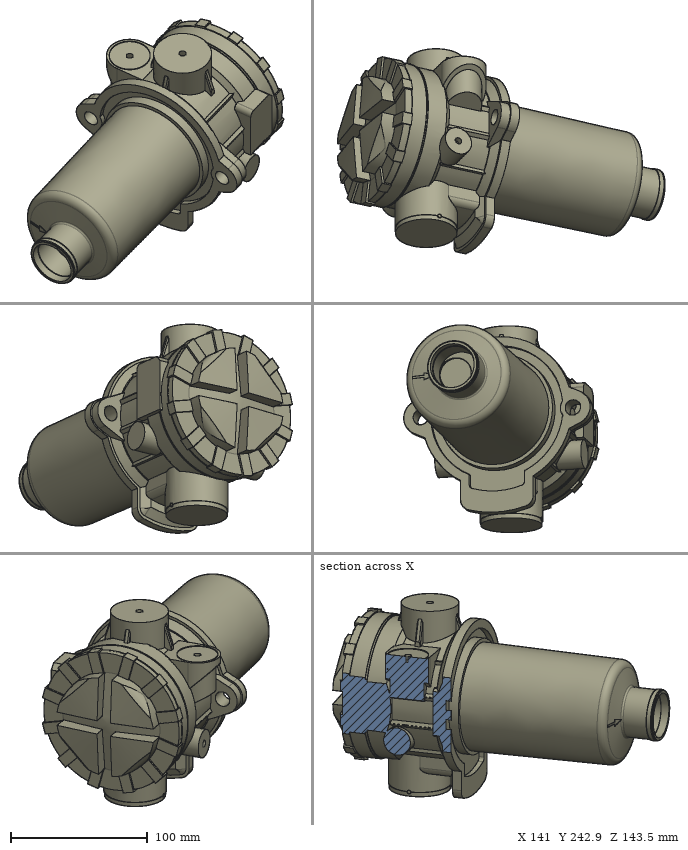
import cadquery as cq
import math


FLANGE_R = 56.8
FLANGE_T = 7.0
FLANGE_CONE_R = 54.7
FLANGE_CONE_TOP = 12.3
LUG_X = 57.5
LUG_R = 13.0
LUG_TOP = 14.3
LUG_STEP = 1.2
LUG_TANGENT_ANGLE = 65.0
LUG_ROOT_X = 45.0
LUG_HOLE_D = 11.5
TAB_R = 75.3
TAB_HALF_W = 27.5
TAB_CORNER_R = 8.0
TAB_BEVEL_H = 4.5
TAB_BEVEL_INSET = 2.5
TAB_BEVEL_ANGLE = 55.0
RECESS_R = 50.0
RECESS_DEPTH = 4.0
RECESS_TAB_R = 59.3
RECESS_TAB_HALF_W = 20.9
RECESS_CORNER_R = 3.0
RECESS_BOSS_R = 9.5

BODY_R = 48.5
BODY_TOP = 46.5
HEAD_R = 52.4
HEAD_BOTTOM = 50.4
COVER_BOTTOM = 65.6
COVER_LIP_T = 1.4
COVER_LIP_R = 53.0
COVER_R = 107.0 / 2
COVER_RING_R = 54.2
COVER_TOP = 84.9
COVER_DOME_TOP = 90.5
TOOTH_COUNT = 12
TOOTH_R = 55.3
TOOTH_W = 8.6
TOOTH_BOTTOM = 79.1
TOOTH_TOP = 86.6
GRIP_R = 38.8
GRIP_TOP = 98.8
GRIP_EDGE_TOP = 96.2
GRIP_SLOT_W = 10.6
GRIP_SCOOP_OUTER_Y = 88.6
GRIP_SCOOP_INNER_R = 30.0
GRIP_SCOOP_MID_R = 36.0
GRIP_SCOOP_MID_Y = 95.3

RIB_R = 50.5
SIDE_RIB_W = 5.2
SIDE_RIB_ANGLE = 13.5
CORNER_RIB_W = 3.4
CORNER_RIB_ANGLE = 45.0

PORT_HOLE_D = 5.0
PORT_HOLE_DEPTH = 5.0
TOP_PORT_Y = 34.5
TOP_PORT_R = 21.2
TOP_PORT_Z = 68.2
GUSSET_W = 4.2
GUSSET_CHAMFER = 0.9
GUSSET_TIP_Z = 61.8
GUSSET_ROOT_Z = 46.0
GUSSET_REACH = 26.5
BOTTOM_PORT_Y = 42.4
BOTTOM_PORT_R = 46.0 / 2
BOTTOM_RIM_R = 45.0 / 2
BOTTOM_RIM_Z = -71.6
BOTTOM_PORT_Z = -75.0
INDEX_BUMP_R = 1.4
INDEX_BUMP_H = 0.3
SIDE_PORT_X = -46.4
SIDE_PORT_Y = TOP_PORT_Y
SIDE_PORT_R = 17.0
SIDE_PORT_Z = 42.2
SIDE_PORT_EDGE_Z = 36.3
SIDE_PORT_SLOPE = 43.5
SIDE_STEM_R = 13.8
SIDE_STEM_EDGE_Z = 14.5
SIDE_STEM_SLOPE = 28.0
SIDE_FACE_D = 30.0
SIDE_FACE_DEPTH = 0.6
GAUGE_X = 55.3
GAUGE_Y = 42.3
GAUGE_Z = -24.8
GAUGE_R = 10.6

PAD_X0 = 40.0
PAD_X1 = 54.6
PAD_Y0 = 42.4
PAD_Y1 = 70.5
PAD_Z0 = -12.0
PAD_Z1 = 30.0
PAD_BEVEL = 4.2
PAD_ROUND = 4.0

WEB_HALF_W = 21.6
WEB_R = 60.4
WEB_TOP = BOTTOM_PORT_Y
WEB_CORNER_R = 5.5

COLLAR_R = 43.0
COLLAR_H = 3.4
BOWL_R = 40.2
BOWL_END_R = 39.0
BOWL_ROUND_Y = -110.0
BOWL_CONE_Y = -116.2
BOWL_CONE_R = 33.6
BOWL_CONE_SLOPE = 0.21
OUTLET_X = 4.0
OUTLET_R = 37.0 / 2
OUTLET_LIP_R = 19.1
OUTLET_LIP_H = 4.7
OVERALL_LENGTH = 242.9
OUTLET_END_Y = GRIP_TOP - OVERALL_LENGTH
OUTLET_LIP_CHAMFER = 1.3
OUTLET_BORE_D = 32.0
OUTLET_BORE_END_Y = -120.0
OUTLET_MOUTH_D = 33.0
OUTLET_MOUTH_DEPTH = 6.0
OUTLET_FILLET_R = 1.4
STRAINER_D = 24.0
STRAINER_DEPTH = 2.0
ARROW_TAIL_X = -33.4
ARROW_NECK_X = -24.2
ARROW_TIP_X = -15.0
ARROW_SHAFT_HALF_W = 0.8
ARROW_HEAD_HALF_W = 2.6
ARROW_H = 0.3


def prism(profile, y0, y1):
    """Extrude an XZ profile, given as a function of a workplane, from y0 to y1."""
    return profile(cq.Workplane("XZ", origin=(0, y0, 0))).extrude(y0 - y1)


def disc(radius, y0, y1, x=0, z=0):
    return prism(lambda wp: wp.center(x, z).circle(radius), y0, y1)


def post(radius, x, y, z0, z1):
    """Cylinder along Z."""
    return cq.Workplane("XY", origin=(x, y, z0)).circle(radius).extrude(z1 - z0)


def revolved(points):
    """Solid of revolution about Y from (radius, y) points."""
    return cq.Workplane("XY").polyline(points).close().revolve(360, (0, 0, 0), (0, 1, 0))


def lower_sector(half_w, radius, corner_r, y0, y1):
    """Strip below the axis, closed by an arc about the axis, with rounded lower corners."""
    side_z = -math.sqrt(radius**2 - half_w**2)
    strip = prism(
        lambda wp: wp.moveTo(-half_w, 0)
        .lineTo(-half_w, side_z)
        .threePointArc((0, -radius), (half_w, side_z))
        .lineTo(half_w, 0)
        .close(),
        y0,
        y1,
    )
    corners = cq.selectors.BoxSelector(
        (-radius, y0 - radius, -radius), (radius, y1 + radius, side_z / 2)
    )
    return strip.edges("|Y").edges(corners).fillet(corner_r)


def lug(side, inset, y0, y1):
    """Mounting ear: a round end whose flanks run out into the flange."""
    radius = LUG_R - inset
    angle = math.radians(LUG_TANGENT_ANGLE)
    tangent_x = LUG_X + radius * math.cos(angle)
    tangent_z = radius * math.sin(angle)
    root_z = tangent_z + (tangent_x - LUG_ROOT_X) / math.tan(angle)
    return prism(
        lambda wp: wp.moveTo(side * LUG_ROOT_X, -root_z)
        .lineTo(side * tangent_x, -tangent_z)
        .threePointArc((side * (LUG_X + radius), 0), (side * tangent_x, tangent_z))
        .lineTo(side * LUG_ROOT_X, root_z)
        .close(),
        y0,
        y1,
    )


def flange():
    cone_rise = FLANGE_CONE_TOP - FLANGE_T
    plate = revolved(
        [
            (0, 0),
            (FLANGE_R, 0),
            (FLANGE_R, FLANGE_T),
            (FLANGE_CONE_R, FLANGE_T),
            (FLANGE_CONE_R - cone_rise, FLANGE_CONE_TOP),
            (0, FLANGE_CONE_TOP),
        ]
    )
    plate = plate.union(lower_sector(TAB_HALF_W, TAB_R, TAB_CORNER_R, 0, FLANGE_T))
    bevel_base = lower_sector(
        TAB_HALF_W - TAB_BEVEL_INSET,
        TAB_R - TAB_BEVEL_INSET,
        TAB_CORNER_R - TAB_BEVEL_INSET,
        0,
        FLANGE_T,
    )
    bevel = bevel_base.faces(">Y").wires().toPending()
    bevel = bevel.workplane().extrude(TAB_BEVEL_H, taper=TAB_BEVEL_ANGLE, combine=False)
    plate = plate.union(bevel)
    for side in (-1, 1):
        plate = plate.union(lug(side, 0, 0, FLANGE_T))
        plate = plate.union(lug(side, LUG_STEP, 0, LUG_TOP))
    return plate


def flange_recess():
    recess = disc(RECESS_R, 0, RECESS_DEPTH)
    recess = recess.union(
        lower_sector(RECESS_TAB_HALF_W, RECESS_TAB_R, RECESS_CORNER_R, 0, RECESS_DEPTH)
    )
    for side in (-1, 1):
        recess = recess.cut(disc(RECESS_BOSS_R, 0, RECESS_DEPTH, side * LUG_X))
    return recess


def housing():
    body = revolved(
        [
            (0, RECESS_DEPTH),
            (BODY_R, RECESS_DEPTH),
            (BODY_R, BODY_TOP),
            (HEAD_R, HEAD_BOTTOM),
            (HEAD_R, COVER_BOTTOM),
            (0, COVER_BOTTOM),
        ]
    )
    for angle, width in ((SIDE_RIB_ANGLE, SIDE_RIB_W), (CORNER_RIB_ANGLE, CORNER_RIB_W)):
        foot = math.sqrt(BODY_R**2 - (width / 2) ** 2)
        outline = [(0, -width / 2), (foot, -width / 2), (RIB_R, 0), (foot, width / 2), (0, width / 2)]
        rib = prism(lambda wp, points=outline: wp.polyline(points).close(), FLANGE_T, HEAD_BOTTOM)
        for turned in (angle, 180 - angle, 180 + angle, -angle):
            body = body.union(rib.rotate((0, 0, 0), (0, 1, 0), turned))
    return body


def grips():
    """Crossed-slot hand grip with a finger scoop sloping outward in each quadrant."""
    flat_r = GRIP_SLOT_W / math.sqrt(2)
    knob = revolved(
        [
            (0, COVER_BOTTOM),
            (GRIP_R, COVER_BOTTOM),
            (GRIP_R, GRIP_EDGE_TOP),
            (flat_r, GRIP_TOP),
            (0, GRIP_TOP),
        ]
    )
    slot_h = GRIP_TOP - COVER_TOP
    slot = cq.Workplane("XY").box(2 * GRIP_R, slot_h, GRIP_SLOT_W, centered=(True, False, True))
    slot = slot.translate((0, COVER_TOP, 0))
    scoop = (
        cq.Workplane("XY")
        .moveTo(GRIP_SCOOP_INNER_R, GRIP_TOP)
        .threePointArc((GRIP_SCOOP_MID_R, GRIP_SCOOP_MID_Y), (GRIP_R, GRIP_SCOOP_OUTER_Y))
        .lineTo(GRIP_R, GRIP_TOP)
        .close()
        .extrude(GRIP_R, both=True)
    )
    for turn in range(4):
        knob = knob.cut(scoop.rotate((0, 0, 0), (0, 1, 0), 45 + 90 * turn))
    for angle in (0, 90):
        knob = knob.cut(slot.rotate((0, 0, 0), (0, 1, 0), angle))
    return knob


def cover():
    lip_top = COVER_BOTTOM + COVER_LIP_T
    cap = revolved(
        [
            (0, COVER_BOTTOM),
            (COVER_LIP_R, COVER_BOTTOM),
            (COVER_LIP_R, lip_top),
            (COVER_R, lip_top),
            (COVER_R, TOOTH_BOTTOM),
            (COVER_RING_R, TOOTH_BOTTOM),
            (COVER_RING_R, COVER_TOP),
            (GRIP_R, COVER_TOP),
            (0, COVER_DOME_TOP),
        ]
    )
    tooth = cq.Workplane("XY").box(
        TOOTH_R - GRIP_R, TOOTH_TOP - TOOTH_BOTTOM, TOOTH_W, centered=(False, False, True)
    )
    tooth = tooth.translate((GRIP_R, TOOTH_BOTTOM, 0))
    pitch = 360 / TOOTH_COUNT
    for index in range(TOOTH_COUNT):
        cap = cap.union(tooth.rotate((0, 0, 0), (0, 1, 0), pitch * (index + 0.5)))
    return cap.union(grips())


def top_port():
    port = post(TOP_PORT_R, 0, TOP_PORT_Y, 0, TOP_PORT_Z)
    gusset = (
        cq.Workplane("XZ")
        .polyline(
            [
                (0, 0),
                (GUSSET_REACH, 0),
                (GUSSET_REACH, GUSSET_ROOT_Z),
                (TOP_PORT_R, GUSSET_TIP_Z),
                (0, GUSSET_TIP_Z),
            ]
        )
        .close()
        .extrude(GUSSET_W / 2, both=True)
    )
    crest_middle = ((TOP_PORT_R + GUSSET_REACH) / 2, 0, (GUSSET_ROOT_Z + GUSSET_TIP_Z) / 2)
    crest = gusset.faces(cq.NearestToPointSelector(crest_middle))
    gusset = crest.edges("not |Y").chamfer(GUSSET_CHAMFER)
    for turn in range(4):
        turned = gusset.rotate((0, 0, 0), (0, 0, 1), 90 * turn)
        port = port.union(turned.translate((0, TOP_PORT_Y, 0)))
    return port


def bottom_port():
    port = post(BOTTOM_PORT_R, 0, BOTTOM_PORT_Y, BOTTOM_RIM_Z, 0)
    port = port.union(post(BOTTOM_RIM_R, 0, BOTTOM_PORT_Y, BOTTOM_PORT_Z, BOTTOM_RIM_Z))
    bump = cq.Workplane("YZ").center(BOTTOM_PORT_Y, BOTTOM_RIM_Z).circle(INDEX_BUMP_R)
    return port.union(bump.extrude(BOTTOM_PORT_R + INDEX_BUMP_H, both=True))


def slanted_column(radius, top_z, edge_z, slope):
    """Side port column with a round -X end and an underside that slopes down towards the housing."""
    outer_x = SIDE_PORT_X - radius
    root_z = edge_z + outer_x * math.tan(math.radians(slope))
    elevation = (
        cq.Workplane("XZ", origin=(0, SIDE_PORT_Y, 0))
        .polyline([(outer_x, edge_z), (outer_x, top_z), (0, top_z), (0, root_z)])
        .close()
        .extrude(radius, both=True)
    )
    plan = (
        cq.Workplane("XY")
        .moveTo(0, SIDE_PORT_Y - radius)
        .lineTo(SIDE_PORT_X, SIDE_PORT_Y - radius)
        .threePointArc((outer_x, SIDE_PORT_Y), (SIDE_PORT_X, SIDE_PORT_Y + radius))
        .lineTo(0, SIDE_PORT_Y + radius)
        .close()
        .extrude(top_z + abs(root_z), both=True)
    )
    return plan.intersect(elevation)


def side_port():
    head = slanted_column(SIDE_PORT_R, SIDE_PORT_Z, SIDE_PORT_EDGE_Z, SIDE_PORT_SLOPE)
    stem = slanted_column(SIDE_STEM_R, SIDE_PORT_Z, SIDE_STEM_EDGE_Z, SIDE_STEM_SLOPE)
    face_z = SIDE_PORT_Z - SIDE_FACE_DEPTH
    face = post(SIDE_FACE_D / 2, SIDE_PORT_X, SIDE_PORT_Y, face_z, SIDE_PORT_Z)
    return head.union(stem).cut(face)


def gauge_bosses():
    return cq.Workplane("YZ").center(GAUGE_Y, GAUGE_Z).circle(GAUGE_R).extrude(GAUGE_X, both=True)


def side_pad():
    pad = cq.Workplane("XY").box(
        PAD_X1 - PAD_X0, PAD_Y1 - PAD_Y0, PAD_Z1 - PAD_Z0, centered=False
    )
    pad = pad.translate((PAD_X0, PAD_Y0, PAD_Z0))
    pad = pad.edges(">Y and >Z").chamfer(PAD_BEVEL)
    return pad.edges("<Y and >Z").fillet(PAD_ROUND)


def bowl():
    apex_y = BOWL_CONE_Y - BOWL_CONE_SLOPE * BOWL_CONE_R
    collar_y = -COLLAR_H
    round_mid_r = BOWL_CONE_R + (BOWL_END_R - BOWL_CONE_R) * math.sin(math.radians(45))
    round_mid_y = BOWL_ROUND_Y + (BOWL_CONE_Y - BOWL_ROUND_Y) * math.sin(math.radians(45))
    return (
        cq.Workplane("XY")
        .moveTo(0, RECESS_DEPTH)
        .lineTo(COLLAR_R, RECESS_DEPTH)
        .lineTo(COLLAR_R, collar_y)
        .lineTo(BOWL_R, collar_y)
        .lineTo(BOWL_END_R, BOWL_ROUND_Y)
        .threePointArc((round_mid_r, round_mid_y), (BOWL_CONE_R, BOWL_CONE_Y))
        .lineTo(0, apex_y)
        .close()
        .revolve(360, (0, 0, 0), (0, 1, 0))
    )


def flow_arrow():
    """Raised arrow that follows the conical end of the bowl and points at the outlet."""
    outline = prism(
        lambda wp: wp.polyline(
            [
                (ARROW_TAIL_X, -ARROW_SHAFT_HALF_W),
                (ARROW_NECK_X, -ARROW_SHAFT_HALF_W),
                (ARROW_NECK_X, -ARROW_HEAD_HALF_W),
                (ARROW_TIP_X, 0),
                (ARROW_NECK_X, ARROW_HEAD_HALF_W),
                (ARROW_NECK_X, ARROW_SHAFT_HALF_W),
                (ARROW_TAIL_X, ARROW_SHAFT_HALF_W),
            ]
        ).close(),
        OUTLET_END_Y,
        BOWL_ROUND_Y,
    )
    base_y = BOWL_CONE_Y - ARROW_H
    apex_y = base_y - BOWL_CONE_SLOPE * BOWL_CONE_R
    cone = revolved([(0, BOWL_ROUND_Y), (BOWL_CONE_R, BOWL_ROUND_Y), (BOWL_CONE_R, base_y), (0, apex_y)])
    return outline.intersect(cone)


def bowl_with_outlet():
    """Bowl with the offset outlet tube blended into its conical end."""
    tube = disc(OUTLET_R, OUTLET_END_Y, BOWL_ROUND_Y, OUTLET_X)
    lip = disc(OUTLET_LIP_R, OUTLET_END_Y, OUTLET_END_Y + OUTLET_LIP_H, OUTLET_X)
    lip = lip.faces("<Y").edges().chamfer(OUTLET_LIP_CHAMFER)
    joint_y = BOWL_CONE_Y - BOWL_CONE_SLOPE * (BOWL_CONE_R - OUTLET_R)
    joint_reach = BOWL_CONE_SLOPE * OUTLET_X + OUTLET_FILLET_R
    joint = cq.selectors.BoxSelector(
        (OUTLET_X - OUTLET_LIP_R, joint_y - joint_reach, -OUTLET_LIP_R),
        (OUTLET_X + OUTLET_LIP_R, joint_y + joint_reach, OUTLET_LIP_R),
        boundingbox=True,
    )
    blended = bowl().union(tube).edges(joint).edges("not |Y").fillet(OUTLET_FILLET_R)
    return blended.union(lip)


def outlet_bore():
    bore = disc(OUTLET_BORE_D / 2, OUTLET_END_Y, OUTLET_BORE_END_Y, OUTLET_X)
    mouth_end = OUTLET_END_Y + OUTLET_MOUTH_DEPTH
    bore = bore.union(disc(OUTLET_MOUTH_D / 2, OUTLET_END_Y, mouth_end, OUTLET_X))
    strainer_end = OUTLET_BORE_END_Y + STRAINER_DEPTH
    return bore.union(disc(STRAINER_D / 2, OUTLET_BORE_END_Y, strainer_end))


def lug_holes():
    return disc(LUG_HOLE_D / 2, 0, LUG_TOP, -LUG_X).union(disc(LUG_HOLE_D / 2, 0, LUG_TOP, LUG_X))


def port_holes():
    radius = PORT_HOLE_D / 2
    holes = post(radius, 0, TOP_PORT_Y, TOP_PORT_Z - PORT_HOLE_DEPTH, TOP_PORT_Z)
    holes = holes.union(
        post(radius, SIDE_PORT_X, SIDE_PORT_Y, SIDE_PORT_Z - PORT_HOLE_DEPTH, SIDE_PORT_Z)
    )
    gauge_hole = cq.Workplane("YZ", origin=(-GAUGE_X, GAUGE_Y, GAUGE_Z)).circle(radius)
    return holes.union(gauge_hole.extrude(PORT_HOLE_DEPTH))


part = flange().union(housing()).union(cover())
part = part.union(lower_sector(WEB_HALF_W, WEB_R, WEB_CORNER_R, FLANGE_T, WEB_TOP))
part = part.union(top_port()).union(bottom_port()).union(side_port())
part = part.union(gauge_bosses()).union(side_pad())
part = part.cut(flange_recess()).cut(lug_holes()).cut(port_holes())
result = part.union(bowl_with_outlet()).union(flow_arrow()).cut(outlet_bore())